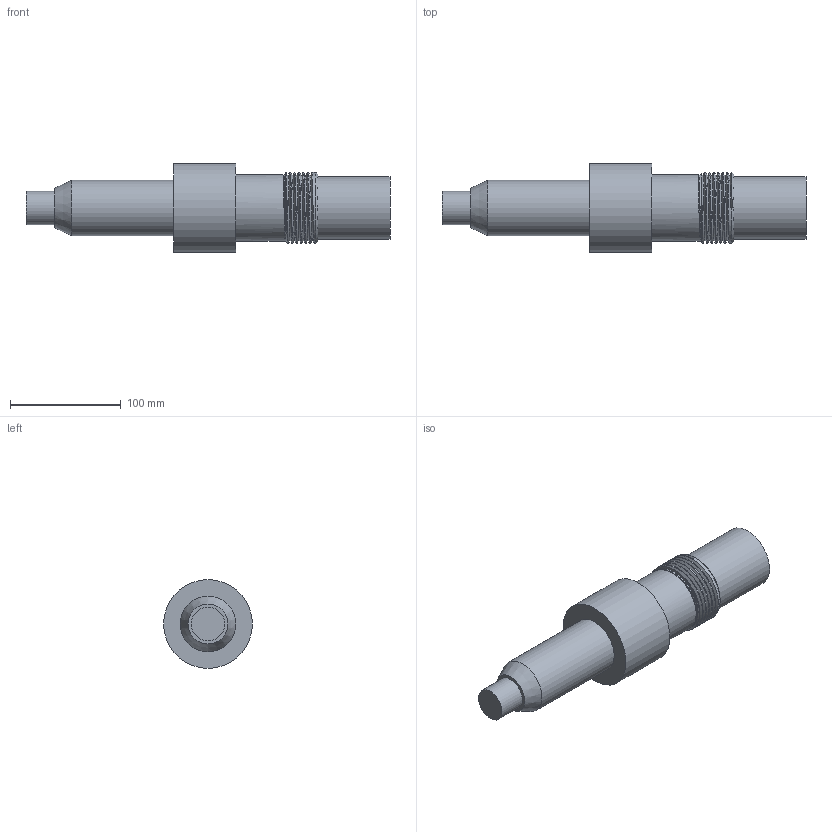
import cadquery as cq
import math

nose_length = 26.0
taper_length = 15.0
front_shaft_length = 92.0
collar_length = 56.0
journal_length = 45.0
thread_length = 29.0
tail_length = 65.0

nose_diameter = 30.0
taper_small_diameter = 36.0
front_shaft_diameter = 50.0
collar_diameter = 80.0
journal_diameter = 60.0
thread_diameter = 64.0
tail_diameter = 56.0

thread_pitch = 4.0
thread_depth_to_pitch = 0.6134
thread_depth = thread_depth_to_pitch * thread_pitch
thread_root_flat = thread_pitch / 8
thread_flank_angle = 30.0
thread_end_chamfer = 2.0
groove_end_inset = 3.0
groove_turns = 7.25
cutter_overshoot = 0.15

taper_start = nose_length
front_shaft_start = taper_start + taper_length
collar_start = front_shaft_start + front_shaft_length
journal_start = collar_start + collar_length
thread_start = journal_start + journal_length
thread_end = thread_start + thread_length
shaft_end = thread_end + tail_length


def turned_body():
    """Stepped body with a plain thread cylinder, revolved about the X axis."""
    half_profile = [
        (0, 0),
        (0, nose_diameter / 2),
        (taper_start, nose_diameter / 2),
        (taper_start, taper_small_diameter / 2),
        (front_shaft_start, front_shaft_diameter / 2),
        (collar_start, front_shaft_diameter / 2),
        (collar_start, collar_diameter / 2),
        (journal_start, collar_diameter / 2),
        (journal_start, journal_diameter / 2),
        (thread_start, journal_diameter / 2),
        (thread_start, thread_diameter / 2),
        (thread_end - thread_end_chamfer, thread_diameter / 2),
        (thread_end, thread_diameter / 2 - thread_end_chamfer),
        (thread_end, tail_diameter / 2),
        (shaft_end, tail_diameter / 2),
        (shaft_end, 0),
    ]
    return cq.Workplane("XZ").polyline(half_profile).close().revolve(360, (0, 0, 0), (1, 0, 0))


def thread_groove():
    """Helical V-groove cutter, from the +Y side of the journal to the +Z side of the thread."""
    root_radius = thread_diameter / 2 - thread_depth
    outer_radius = thread_diameter / 2 + cutter_overshoot
    root_half = thread_root_flat / 2
    flank_run = (outer_radius - root_radius) * math.tan(math.radians(thread_flank_angle))
    outer_half = root_half + flank_run
    groove_length = groove_turns * thread_pitch
    groove_start = thread_end - groove_end_inset - groove_length

    helix = cq.Wire.makeHelix(thread_pitch, groove_length, root_radius)
    cutter = (
        cq.Workplane("XZ")
        .moveTo(root_radius, root_half)
        .lineTo(outer_radius, outer_half)
        .lineTo(outer_radius, -outer_half)
        .lineTo(root_radius, -root_half)
        .close()
        .sweep(cq.Workplane(obj=helix), isFrenet=True)
    )
    cutter = cutter.rotate((0, 0, 0), (1, 1, 1), 120)
    return cutter.translate((groove_start, 0, 0))


result = turned_body().cut(thread_groove())